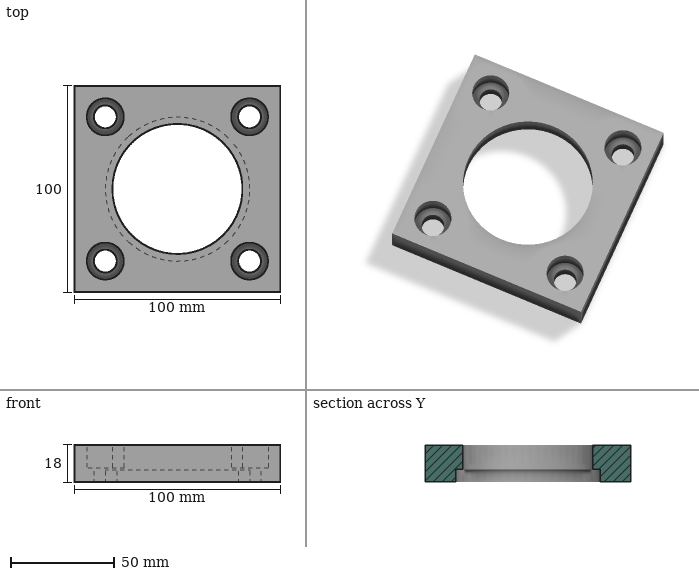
import cadquery as cq

side = 100.0
thickness = 18.0

bore_diameter = 63.0
recess_diameter = 70.0
recess_depth = 6.0

hole_spacing = 70.0
hole_diameter = 11.0
counterbore_diameter = 18.0
counterbore_depth = 11.0

plate = cq.Workplane("XY").box(side, side, thickness, centered=(True, True, False))

bored_plate = plate.faces(">Z").workplane().hole(bore_diameter)
recess = cq.Workplane("XY").circle(recess_diameter / 2).extrude(recess_depth)
recessed_plate = bored_plate.cut(recess)

result = (
    recessed_plate.faces(">Z")
    .workplane(origin=(0, 0, thickness))
    .rect(hole_spacing, hole_spacing, forConstruction=True)
    .vertices()
    .cboreHole(hole_diameter, counterbore_diameter, counterbore_depth)
)